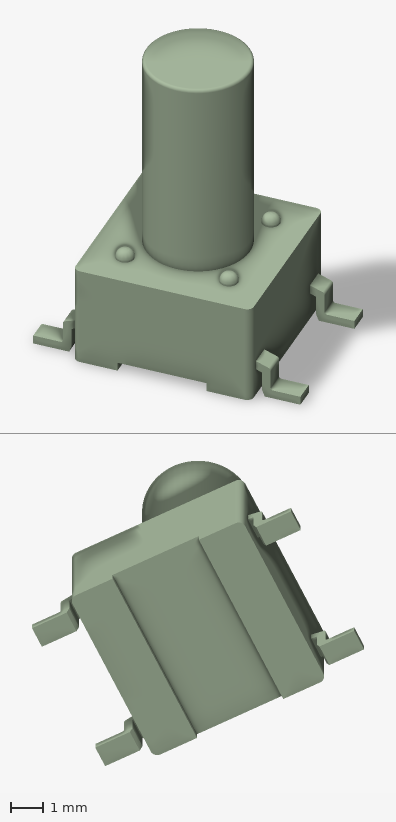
import cadquery as cq

total_height = 10.3
lead_span = 9.0

housing_side = 6.0
housing_height = 3.44
cover_thickness = 0.15
corner_radius = 0.23
notch_width = 3.0
notch_depth = 0.3

button_diameter = 3.5
button_edge_radius = 0.1

rivet_diameter = 0.6
rivet_height = 0.32
rivet_dome_radius = 0.25
rivet_spacing = 3.5

lead_thickness = 0.3
lead_width = 0.7
lead_row_spacing = 4.5
riser_span = 7.0
shoulder_height = 1.09
shoulder_rise = 0.18
shoulder_drop = 0.31
heel_length = 0.09
heel_height = 0.25
bend_radius = 0.1
inner_bend_radius = 0.07


def make_housing():
    """Rounded square block with a shallow channel under it along Y."""
    body_height = housing_height - cover_thickness
    body = cq.Workplane("XY").rect(housing_side, housing_side).extrude(body_height)
    body = body.edges("|Z").fillet(corner_radius)
    notch = cq.Workplane("XY").box(
        notch_width, housing_side, notch_depth, centered=(True, True, False)
    )
    return body.cut(notch)


def make_cover():
    """Thin plate with the same outline as the housing."""
    plate = (
        cq.Workplane("XY")
        .workplane(offset=housing_height - cover_thickness)
        .rect(housing_side, housing_side)
        .extrude(cover_thickness)
    )
    return plate.edges("|Z").fillet(corner_radius)


def make_button():
    """Tall round plunger with a softened top edge."""
    return (
        cq.Workplane("XY")
        .workplane(offset=housing_height)
        .circle(button_diameter / 2)
        .extrude(total_height - housing_height)
        .faces(">Z")
        .edges()
        .fillet(button_edge_radius)
    )


def make_rivets():
    """Four domed rivet heads on the cover."""
    return (
        cq.Workplane("XY")
        .workplane(offset=housing_height)
        .rect(rivet_spacing, rivet_spacing, forConstruction=True)
        .vertices()
        .circle(rivet_diameter / 2)
        .extrude(rivet_height)
        .faces(">Z")
        .edges()
        .fillet(rivet_dome_radius)
    )


def make_lead(row_y):
    """Lead on the -X side: flat foot, upright riser, shoulder sloping up to the wall."""
    tip_x = -lead_span / 2
    wall_x = -housing_side / 2
    outer_x = -riser_span / 2
    inner_x = outer_x + lead_thickness
    shoulder_slope = shoulder_rise / (wall_x - outer_x)
    wall_top_z = shoulder_height + shoulder_rise
    wall_bottom_z = wall_top_z - shoulder_drop
    inner_knee_z = wall_bottom_z - shoulder_slope * (wall_x - inner_x)
    profile = [
        (tip_x, 0),
        (inner_x - heel_length, 0),
        (inner_x, heel_height),
        (inner_x, inner_knee_z),
        (wall_x, wall_bottom_z),
        (wall_x, wall_top_z),
        (outer_x, shoulder_height),
        (outer_x, lead_thickness),
        (tip_x, lead_thickness),
    ]
    lead = (
        cq.Workplane("XZ", origin=(0, row_y, 0))
        .polyline(profile)
        .close()
        .extrude(lead_width / 2, both=True)
    )
    shoulder_point = (outer_x, row_y, shoulder_height)
    foot_point = (outer_x, row_y, lead_thickness)
    lead = lead.edges(cq.selectors.NearestToPointSelector(shoulder_point)).fillet(bend_radius)
    return lead.edges(cq.selectors.NearestToPointSelector(foot_point)).fillet(inner_bend_radius)


result = make_housing().union(make_cover(), clean=False)
result = result.union(make_button(), clean=False).union(make_rivets(), clean=False)
for side in (-1, 1):
    lead = make_lead(side * lead_row_spacing / 2)
    result = result.union(lead, clean=False).union(lead.mirror("YZ"), clean=False)